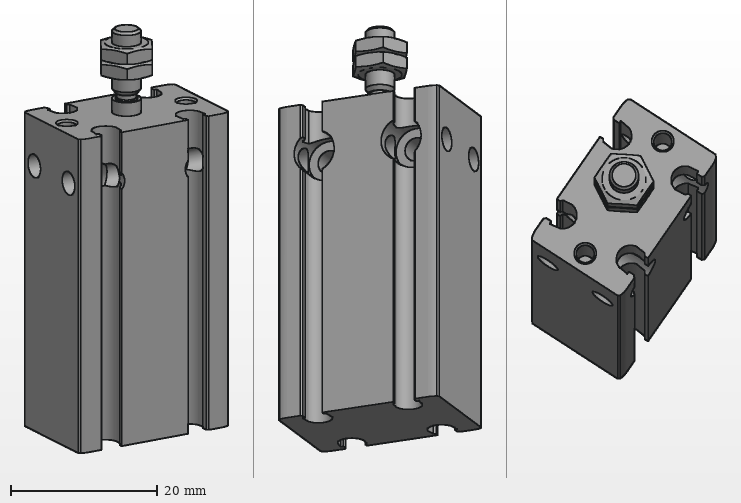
import cadquery as cq
import math

body_width = 15.0
body_depth = 24.0
body_height = 45.05
total_height = 57.0

crown_radius = 3.4
crown_start_y = 10.55
bevel_start_y = 11.75
bevel_end_x = 7.0

groove_diameter = 3.9
groove_x = 5.6
groove_y = 6.7
groove_inner_lip_y = 5.3
groove_inner_lip_end_x = 6.95
groove_inner_wall_x = 6.7
groove_inner_wall_y = 4.95
groove_inner_arc_x = 5.3
groove_outer_lip_y = 8.3
groove_outer_lip_end_x = 6.4
groove_outer_wall_y = 8.7
groove_outer_arc_x = 4.85
groove_lip_bevel = 0.3

mount_z = body_height - 7.0
mount_diameter = 3.3
side_mount_y = 6.5
front_mount_x = 4.5
counterbore_diameter = 6.0
counterbore_depth = 5.0

tap_y = 9.5
tap_diameter = 2.45
tap_mouth_diameter = 3.0
tap_depth = 6.0

rod_diameter = 4.0
rod_insertion = 6.0
shoulder_z = 46.95
neck_diameter = 2.7
neck_collar_diameter = 3.1
neck_base_bevel = 0.15
neck_top_z = 47.8
thread_start_z = 48.45
tip_diameter = 3.25

nut_count = 2
nut_across_flats = 7.0
nut_height = 2.2
nut_bottom_z = 50.55
nut_face_diameter = 6.0
nut_corner_drop = 0.35


def crown_inset(y):
    """Distance of the crown arc behind the flat side face at height y of the section."""
    return crown_radius - math.sqrt(crown_radius**2 - (y - crown_start_y) ** 2)


def quarter_block():
    """One quadrant of the plain body section, with its crowned and bevelled corner."""
    face_x = body_width / 2
    crown_middle_y = (crown_start_y + bevel_start_y) / 2
    return (
        cq.Workplane("XY")
        .lineTo(face_x, 0)
        .lineTo(face_x, crown_start_y)
        .threePointArc(
            (face_x - crown_inset(crown_middle_y), crown_middle_y),
            (face_x - crown_inset(bevel_start_y), bevel_start_y),
        )
        .lineTo(bevel_end_x, body_depth / 2)
        .lineTo(0, body_depth / 2)
        .close()
        .extrude(body_height)
    )


def groove_half_chord(x):
    """Half the height of the groove's round part, measured along Y at the given X."""
    return math.sqrt((groove_diameter / 2) ** 2 - (x - groove_x) ** 2)


def groove_cutter():
    """Round-bottomed groove behind two lips, the outer one hooked and bevelled."""
    face_x = body_width / 2
    return (
        cq.Workplane("XY")
        .moveTo(face_x, groove_inner_lip_y)
        .lineTo(groove_inner_lip_end_x, groove_inner_lip_y)
        .lineTo(groove_inner_wall_x, groove_inner_wall_y)
        .lineTo(groove_inner_arc_x, groove_y - groove_half_chord(groove_inner_arc_x))
        .threePointArc(
            (groove_x - groove_diameter / 2, groove_y),
            (groove_outer_arc_x, groove_y + groove_half_chord(groove_outer_arc_x)),
        )
        .lineTo(groove_outer_lip_end_x, groove_outer_wall_y)
        .lineTo(groove_outer_lip_end_x, groove_outer_lip_y)
        .lineTo(face_x - groove_lip_bevel, groove_outer_lip_y)
        .lineTo(face_x, groove_outer_lip_y + groove_lip_bevel)
        .close()
        .extrude(body_height)
    )


def grooved_block():
    """Body section completed from one grooved quadrant by mirroring."""
    quarter = quarter_block().cut(groove_cutter())
    half = quarter.union(quarter.mirror("XZ"))
    return half.union(half.mirror("YZ")).clean()


def side_mount_cutter(y):
    """Through hole along X, counterbored from the -X face."""
    face = cq.Workplane("YZ", origin=(-body_width / 2, y, mount_z))
    hole = face.circle(mount_diameter / 2).extrude(body_width)
    return hole.union(face.circle(counterbore_diameter / 2).extrude(counterbore_depth))


def front_mount_cutter(x):
    """Plain through hole along Y."""
    face = cq.Workplane("XZ", origin=(x, body_depth / 2, mount_z))
    return face.circle(mount_diameter / 2).extrude(body_depth)


def tap_cutter(y):
    """Blind hole in the top face with a 45 degree countersunk mouth."""
    radius = tap_diameter / 2
    mouth_radius = tap_mouth_diameter / 2
    mouth_depth = mouth_radius - radius
    return (
        cq.Workplane("XZ")
        .polyline([
            (0, body_height - tap_depth),
            (radius, body_height - tap_depth),
            (radius, body_height - mouth_depth),
            (mouth_radius, body_height),
            (0, body_height),
        ])
        .close()
        .revolve(360, (0, 0), (0, 1))
        .translate((0, y, 0))
    )


def rod_bore_cutter():
    """Blind bore that holds the lower end of the rod."""
    top = cq.Workplane("XY", origin=(0, 0, body_height))
    return top.circle(rod_diameter / 2).extrude(-rod_insertion)


def make_body():
    """Cylinder body with grooves, mounting holes, tapped holes and rod bore."""
    body = grooved_block().cut(rod_bore_cutter())
    for side in (-1, 1):
        body = body.cut(side_mount_cutter(side * side_mount_y))
        body = body.cut(front_mount_cutter(side * front_mount_x))
        body = body.cut(tap_cutter(side * tap_y))
    return body


def make_rod():
    """Turned rod: plain shoulder, thread-relief neck and chamfered threaded end."""
    radius = rod_diameter / 2
    neck_radius = neck_diameter / 2
    tip_radius = tip_diameter / 2
    collar_radius = neck_collar_diameter / 2
    tip_chamfer = radius - tip_radius
    return (
        cq.Workplane("XZ")
        .polyline([
            (0, body_height - rod_insertion),
            (radius, body_height - rod_insertion),
            (radius, shoulder_z),
            (collar_radius, shoulder_z),
            (neck_radius, shoulder_z + neck_base_bevel),
            (neck_radius, neck_top_z),
            (collar_radius, neck_top_z),
            (radius, thread_start_z),
            (radius, total_height - tip_chamfer),
            (tip_radius, total_height),
            (0, total_height),
        ])
        .close()
        .revolve(360, (0, 0), (0, 1))
    )


def nut_envelope():
    """Disc with conical rims that trims both ends of the nut's hexagon corners."""
    corner_radius = nut_across_flats / math.sqrt(3)
    face_radius = nut_face_diameter / 2
    return (
        cq.Workplane("XZ")
        .polyline([
            (0, 0),
            (face_radius, 0),
            (corner_radius, nut_corner_drop),
            (corner_radius, nut_height - nut_corner_drop),
            (face_radius, nut_height),
            (0, nut_height),
        ])
        .close()
        .revolve(360, (0, 0), (0, 1))
    )


def make_nut(bottom_z):
    """Hexagon nut with two corners on the Y axis and a bore fitting the rod."""
    corner_diameter = 2 * nut_across_flats / math.sqrt(3)
    hexagon = (
        cq.Workplane("XY")
        .transformed(rotate=(0, 0, 90))
        .polygon(6, corner_diameter)
        .extrude(nut_height)
    )
    bore = cq.Workplane("XY").circle(rod_diameter / 2).extrude(nut_height)
    return hexagon.intersect(nut_envelope()).cut(bore).translate((0, 0, bottom_z))


body = make_body()
rod = make_rod()
nuts = [make_nut(nut_bottom_z + index * nut_height) for index in range(nut_count)]

result = cq.Compound.makeCompound([body.val(), rod.val(), *[nut.val() for nut in nuts]])